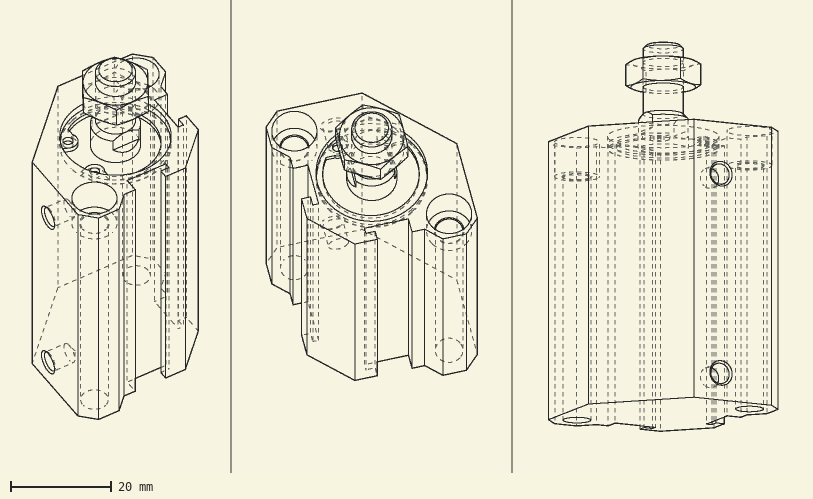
import cadquery as cq
import math

half_width = 18.0
body_height = 56.5
corner_chamfer = 3.0
inner_face = 15.0
bolt_corner_reach = 10.2
slope_end = bolt_corner_reach - (half_width - inner_face)
top_bevel_start = 7.1
front_bevel_end = 2.4

slot_start = -4.6
slot_end = 4.4
slot_floor = 11.95
lip_start = 2.5
lip_underside = 13.15

bolt_offset = 12.75
bolt_dia = 5.5
bolt_edge_chamfer = 0.2
counterbore_dia = 9.0
counterbore_depth = 7.0

port_x = 3.65
port_heights = (5.5, 46.0)
port_dia = 4.13
port_mouth_dia = 5.0
port_depth = 5.0
drill_tip_angle = 118.0

recess_dia = 22.2
ring_top_depth = 1.5
ring_thickness = 1.0
ring_dia = 22.0
recess_floor = body_height - ring_top_depth - ring_thickness
ring_opening_radius = 9.62
ring_opening_center_y = -0.66
lug_x = 5.05
lug_y = -8.0
lug_radius = 2.0
lug_hole_dia = 2.0
lug_shoulder_y = -6.26

rod_top = 75.0
rod_dia = 10.0
thread_dia = 8.0
thread_end_dia = 6.65
thread_length = 14.0
flats_width = 8.0
flats_bottom = 57.5

nut_across_flats = 13.0
nut_thickness = 5.0
nut_bottom = 66.55
nut_face_dia = 12.9
nut_chamfer_height = 0.4


def cylinder(dia, bottom, height, x=0, y=0):
    return cq.Workplane("XY", origin=(x, y, bottom)).circle(dia / 2).extrude(height)


def make_block():
    lower_half = [
        (-front_bevel_end, -half_width),
        (half_width - corner_chamfer, -half_width),
        (half_width, -half_width + corner_chamfer),
        (half_width, -bolt_corner_reach),
        (inner_face, -slope_end),
        (inner_face, slot_start),
        (slot_floor, slot_start),
        (slot_floor, slot_end),
        (lip_underside, slot_end),
        (lip_underside, lip_start),
        (inner_face, lip_start),
        (inner_face, top_bevel_start),
    ]
    upper_half = [(y, x) for x, y in reversed(lower_half)]
    return cq.Workplane("XY").polyline(lower_half + upper_half).close().extrude(body_height)


def make_bolt_hole(x, y):
    seat = body_height - counterbore_depth
    hole = cylinder(bolt_dia, 0, seat, x, y)
    counterbore = cylinder(counterbore_dia, seat, counterbore_depth, x, y)
    edge_cone = (
        cq.Workplane("XY", origin=(x, y, seat))
        .circle(bolt_dia / 2 + bolt_edge_chamfer)
        .workplane(offset=-bolt_edge_chamfer)
        .circle(bolt_dia / 2)
        .loft()
    )
    return hole.union(counterbore).union(edge_cone)


def make_port(height):
    radius = port_dia / 2
    mouth_radius = port_mouth_dia / 2
    tip_length = radius / math.tan(math.radians(drill_tip_angle / 2))
    section = [
        (0, 0),
        (mouth_radius, 0),
        (radius, mouth_radius - radius),
        (radius, port_depth),
        (0, port_depth + tip_length),
    ]
    port = cq.Workplane("XY").polyline(section).close().revolve(360, (0, 0, 0), (0, 1, 0))
    return port.translate((port_x, -half_width, height))


def make_ring_opening():
    """Space inside the retaining ring, including the gap between its two lugs."""
    recess_radius = recess_dia / 2
    lug_distance = math.hypot(lug_x, lug_y)
    gap_angle = math.atan2(lug_x, -lug_y) - math.asin(lug_radius / lug_distance)
    tangent_distance = math.sqrt(lug_distance**2 - lug_radius**2)

    def on_gap_edge(distance):
        return distance * math.sin(gap_angle), -distance * math.cos(gap_angle)

    gap_end = on_gap_edge(recess_radius)
    lug_tangent = on_gap_edge(tangent_distance)
    arc_middle = math.radians(135)
    lug_middle = (
        lug_x + lug_radius * math.cos(arc_middle),
        lug_y + lug_radius * math.sin(arc_middle),
    )
    lug_rise = lug_shoulder_y - lug_y
    lug_end = (lug_x + math.sqrt(lug_radius**2 - lug_rise**2), lug_shoulder_y)
    shoulder_drop = ring_opening_center_y - lug_shoulder_y
    band_start = (math.sqrt(ring_opening_radius**2 - shoulder_drop**2), lug_shoulder_y)
    band_top = (0, ring_opening_center_y + ring_opening_radius)

    def mirrored(point):
        return -point[0], point[1]

    return (
        cq.Workplane("XY", origin=(0, 0, recess_floor))
        .moveTo(*gap_end)
        .lineTo(*lug_tangent)
        .threePointArc(lug_middle, lug_end)
        .lineTo(*band_start)
        .threePointArc(band_top, mirrored(band_start))
        .lineTo(*mirrored(lug_end))
        .threePointArc(mirrored(lug_middle), mirrored(lug_tangent))
        .lineTo(*mirrored(gap_end))
        .threePointArc((0, -recess_radius), gap_end)
        .close()
        .extrude(ring_thickness)
    )


def make_ring():
    ring = cylinder(ring_dia, recess_floor, ring_thickness).cut(make_ring_opening())
    for side in (-1, 1):
        ring = ring.cut(cylinder(lug_hole_dia, recess_floor, ring_thickness, side * lug_x, lug_y))
    return ring


def make_housing():
    housing = make_block()
    for side in (-1, 1):
        housing = housing.cut(make_bolt_hole(side * bolt_offset, -side * bolt_offset))
    for height in port_heights:
        housing = housing.cut(make_port(height))
    recess = cylinder(recess_dia, recess_floor, ring_top_depth + ring_thickness)
    return housing.cut(recess.cut(make_ring()))


def make_rod():
    radius = rod_dia / 2
    thread_radius = thread_dia / 2
    end_radius = thread_end_dia / 2
    shoulder = rod_top - thread_length
    section = [
        (0, recess_floor),
        (radius, recess_floor),
        (radius, shoulder - (radius - thread_radius)),
        (thread_radius, shoulder),
        (thread_radius, rod_top - (thread_radius - end_radius)),
        (end_radius, rod_top),
        (0, rod_top),
    ]
    rod = cq.Workplane("XZ").polyline(section).close().revolve(360, (0, 0, 0), (0, 1, 0))
    half_flats = flats_width / 2
    flat_depth = radius - half_flats
    for side in (-1, 1):
        flat = [
            (side * half_flats, flats_bottom),
            (side * half_flats, shoulder),
            (side * radius, shoulder),
            (side * radius, flats_bottom - flat_depth),
        ]
        rod = rod.cut(cq.Workplane("XZ").polyline(flat).close().extrude(radius, both=True))
    return rod


def make_nut():
    corner_radius = nut_across_flats / math.sqrt(3)
    face_radius = nut_face_dia / 2
    hexagon = (
        cq.Workplane("XY", origin=(0, 0, nut_bottom))
        .polygon(6, 2 * corner_radius)
        .extrude(nut_thickness)
        .rotate((0, 0, 0), (0, 0, 1), 30)
    )
    nut_top = nut_bottom + nut_thickness
    section = [
        (0, nut_bottom),
        (face_radius, nut_bottom),
        (corner_radius, nut_bottom + nut_chamfer_height),
        (corner_radius, nut_top - nut_chamfer_height),
        (face_radius, nut_top),
        (0, nut_top),
    ]
    blank = cq.Workplane("XZ").polyline(section).close().revolve(360, (0, 0, 0), (0, 1, 0))
    return hexagon.intersect(blank).cut(cylinder(thread_dia, nut_bottom, nut_thickness))


housing = make_housing()
rod = make_rod()
nut = make_nut()

result = cq.Compound.makeCompound([housing.val(), rod.val(), nut.val()])